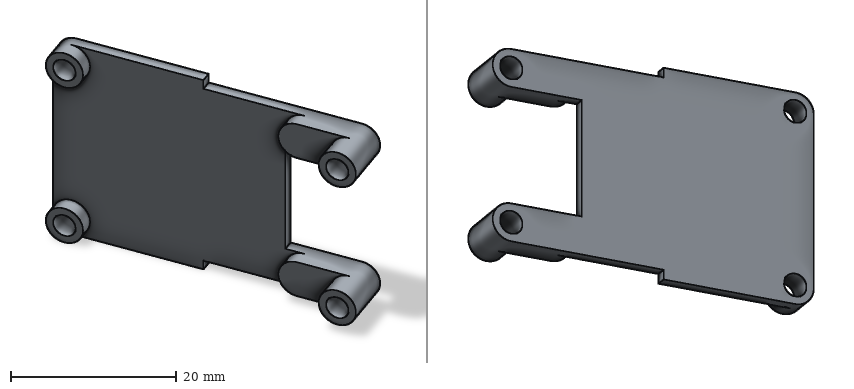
import cadquery as cq

plate_thickness = 1.5
boss_diameter = 5.0
hole_diameter = 3.0
boss_radius = boss_diameter / 2

left_hole_spacing = 22.86
right_hole_spacing = 20.32
hole_pitch_x = 38.18

left_boss_height = 3.5
pad_height = 3.5
right_boss_height = 6.9

pad_length = 7.0
wide_length = 20.2

left_hole_x = boss_radius
right_hole_x = left_hole_x + hole_pitch_x
pad_start_x = right_hole_x - pad_length
plate_end_x = pad_start_x - boss_radius
wide_height = left_hole_spacing + boss_diameter
narrow_height = right_hole_spacing + boss_diameter

left_holes = [(left_hole_x, side * left_hole_spacing / 2) for side in (-1, 1)]
right_holes = [(right_hole_x, side * right_hole_spacing / 2) for side in (-1, 1)]


def front_plane():
    """XZ workplane whose extrusions grow toward -Y from the back face."""
    return cq.Workplane("XZ")


def block(start_x, end_x, center_z, height, depth):
    """Rectangular block standing on the back face."""
    return (
        front_plane()
        .center((start_x + end_x) / 2, center_z)
        .rect(end_x - start_x, height)
        .extrude(depth)
    )


def bosses(centers, height):
    """Round bosses standing on the back face."""
    return front_plane().pushPoints(centers).circle(boss_radius).extrude(height)


def make_plate():
    """Stepped plate, notched between the arms; the left bosses round its left corners."""
    left_strip = block(0, left_hole_x, 0, left_hole_spacing, plate_thickness)
    wide = block(left_hole_x, wide_length, 0, wide_height, plate_thickness)
    narrow = block(wide_length, right_hole_x, 0, narrow_height, plate_thickness)
    notch_height = right_hole_spacing - boss_diameter
    notch = block(plate_end_x, right_hole_x, 0, notch_height, plate_thickness)
    return left_strip.union(wide).union(narrow.cut(notch))


def make_pad(hole_x, hole_z):
    """Raised pad along an arm, with a round inner end."""
    straight = block(pad_start_x, hole_x, hole_z, boss_diameter, pad_height)
    round_end = bosses([(pad_start_x, hole_z)], pad_height)
    return straight.union(round_end)


body = make_plate()
for hole_x, hole_z in right_holes:
    body = body.union(make_pad(hole_x, hole_z))
body = body.union(bosses(left_holes, left_boss_height))
body = body.union(bosses(right_holes, right_boss_height))

holes = (
    front_plane()
    .pushPoints(left_holes + right_holes)
    .circle(hole_diameter / 2)
    .extrude(right_boss_height)
)

result = body.cut(holes)